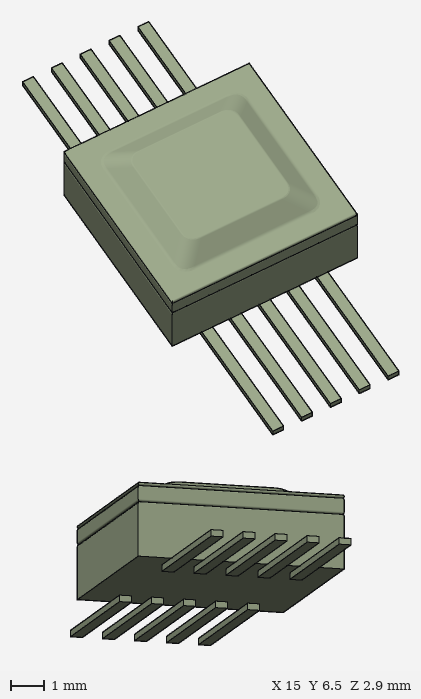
import cadquery as cq
import math

LEAD_SPAN = 15.0
LEAD_LENGTH = 5.25
LEAD_WIDTH = 0.38
LEAD_THICKNESS = 0.2
LEAD_PITCH = 1.01
LEADS_PER_SIDE = 5

PACKAGE_SIDE = 6.5
BASE_HEIGHT = 1.7
RING_HEIGHT = 0.5
LID_HEIGHT = 0.1
SEAM_RADIUS = 0.06

DOME_BOTTOM_SIDE = 5.0
DOME_TOP_SIDE = 3.7
DOME_HEIGHT = 0.4
DOME_CORNER_RADIUS = 0.85
DOME_TOP_RADIUS = 0.1
DOME_ROOT_RADIUS = 0.2

RING_Z = LEAD_THICKNESS + BASE_HEIGHT
LID_Z = RING_Z + RING_HEIGHT
DOME_Z = LID_Z + LID_HEIGHT


def square_slab(bottom_z, height):
    return cq.Workplane("XY").workplane(offset=bottom_z).rect(PACKAGE_SIDE, PACKAGE_SIDE).extrude(height)


def make_base():
    """Base block, rounded where it meets the ring."""
    base = square_slab(LEAD_THICKNESS, BASE_HEIGHT)
    return base.faces(">Z").edges().fillet(SEAM_RADIUS)


def make_ring():
    """Ring block between base and lid, rounded at both seams."""
    ring = square_slab(RING_Z, RING_HEIGHT)
    return ring.faces("<Z or >Z").edges().fillet(SEAM_RADIUS)


def make_dome():
    """Square frustum with rounded sloping corners and a rounded top rim."""
    inset = (DOME_BOTTOM_SIDE - DOME_TOP_SIDE) / 2
    draft = math.degrees(math.atan2(inset, DOME_HEIGHT))
    dome = (
        cq.Workplane("XY")
        .workplane(offset=DOME_Z)
        .rect(DOME_BOTTOM_SIDE, DOME_BOTTOM_SIDE)
        .extrude(DOME_HEIGHT, taper=draft)
    )
    dome = dome.edges("not(#Z)").fillet(DOME_CORNER_RADIUS)
    return dome.faces(">Z").edges().fillet(DOME_TOP_RADIUS)


def make_flange():
    """Thin square plate with a full-round rim on all four sides."""
    half_side = PACKAGE_SIDE / 2
    mid_height = LID_Z + LID_HEIGHT / 2
    along_y = cq.Workplane("XZ").center(0, mid_height).slot2D(PACKAGE_SIDE, LID_HEIGHT)
    along_x = cq.Workplane("YZ").center(0, mid_height).slot2D(PACKAGE_SIDE, LID_HEIGHT)
    return along_y.extrude(half_side, both=True).intersect(along_x.extrude(half_side, both=True))


def make_lid():
    """Plate with the dome blended into its top face."""
    lid = make_flange().union(make_dome())
    reach = DOME_BOTTOM_SIDE / 2 + DOME_ROOT_RADIUS
    margin = LID_HEIGHT / 2
    root = cq.selectors.BoxSelector(
        (-reach, -reach, DOME_Z - margin),
        (reach, reach, DOME_Z + margin),
        boundingbox=True,
    )
    return lid.edges(root).fillet(DOME_ROOT_RADIUS)


def make_leads():
    """Two mirrored rows of flat leads under the base."""
    lead_x = (LEAD_SPAN - LEAD_LENGTH) / 2
    first_y = -LEAD_PITCH * (LEADS_PER_SIDE - 1) / 2
    centers = [
        (side * lead_x, first_y + index * LEAD_PITCH)
        for side in (-1, 1)
        for index in range(LEADS_PER_SIDE)
    ]
    return cq.Workplane("XY").pushPoints(centers).rect(LEAD_LENGTH, LEAD_WIDTH).extrude(LEAD_THICKNESS)


result = make_base().union(make_ring()).union(make_lid()).union(make_leads())